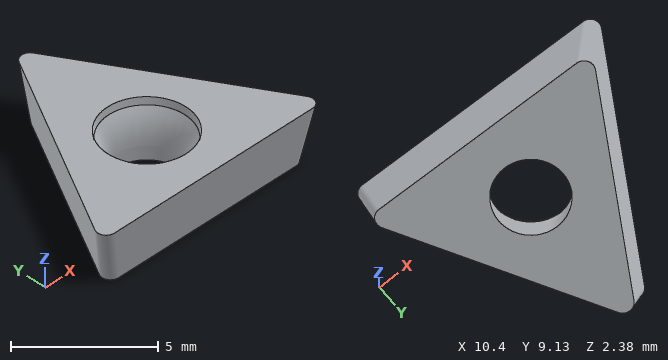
import cadquery as cq
import math

width = 10.42
thickness = 2.38
corner_radius = 0.4
clearance_angle = 7.0

hole_radius = 1.4
rim_radius = 1.85
rim_depth = 0.31
rim_inset = 0.05
seat_arc_radius = 2.81

top_inradius = corner_radius + (width - 2 * corner_radius) / (2 * math.sqrt(3))
bottom_inradius = top_inradius - thickness * math.tan(math.radians(clearance_angle))


def rounded_triangle(inradius, z):
    """Wire of a triangle around the Z axis, one side along -Y, with rounded corners."""
    center_distance = 2 * (inradius - corner_radius)
    edges = []

    def polar(center_angle, offset_angle):
        a = math.radians(center_angle)
        b = math.radians(offset_angle)
        return cq.Vector(
            center_distance * math.cos(a) + corner_radius * math.cos(b),
            center_distance * math.sin(a) + corner_radius * math.sin(b),
            z,
        )

    for angle in (90, 210, 330):
        arc_start = polar(angle, angle - 60)
        arc_middle = polar(angle, angle)
        arc_end = polar(angle, angle + 60)
        next_start = polar(angle + 120, angle + 60)
        edges.append(cq.Edge.makeThreePointArc(arc_start, arc_middle, arc_end))
        edges.append(cq.Edge.makeLine(arc_end, next_start))
    return cq.Wire.assembleEdges(edges)


def screw_hole():
    """Revolved cutter: tapered rim, seat with a convex wall tangent to the bore, then the bore."""
    seat_radius = rim_radius - rim_inset
    seat_top = thickness - rim_depth
    arc_center_radius = hole_radius + seat_arc_radius
    seat_drop = math.sqrt(seat_arc_radius**2 - (arc_center_radius - seat_radius) ** 2)
    return (
        cq.Workplane("XZ")
        .lineTo(hole_radius, 0)
        .lineTo(hole_radius, seat_top - seat_drop)
        .radiusArc((seat_radius, seat_top), seat_arc_radius)
        .lineTo(rim_radius, thickness)
        .lineTo(0, thickness)
        .close()
        .revolve(360, (0, 0, 0), (0, 1, 0))
    )


body = cq.Solid.makeLoft(
    [rounded_triangle(bottom_inradius, 0), rounded_triangle(top_inradius, thickness)], True
)
result = cq.Workplane(body).cut(screw_hole())